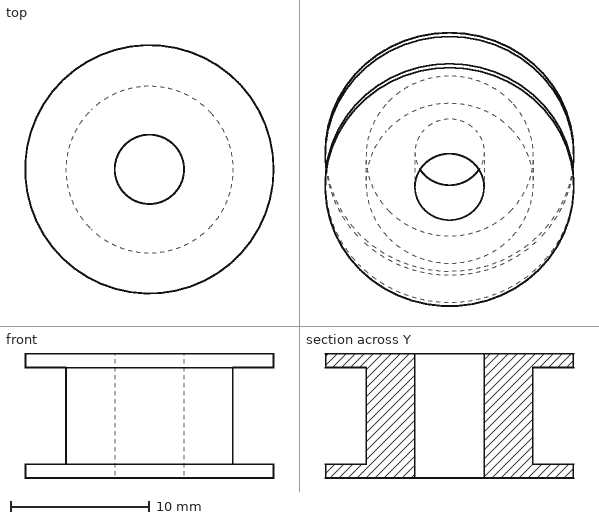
import cadquery as cq

flange_diameter = 18.0
hub_diameter = 12.1
bore_diameter = 5.0
total_height = 9.0
flange_thickness = 1.0

hub_height = total_height - 2 * flange_thickness


def disc(diameter, height, bottom):
    """Solid cylinder on the Z axis, standing on the given level."""
    return cq.Workplane("XY").workplane(offset=bottom).circle(diameter / 2).extrude(height)


lower_flange = disc(flange_diameter, flange_thickness, -total_height / 2)
hub = disc(hub_diameter, hub_height, -hub_height / 2)
upper_flange = disc(flange_diameter, flange_thickness, hub_height / 2)
spool = lower_flange.union(hub).union(upper_flange)

bore = disc(bore_diameter, total_height, -total_height / 2)
result = spool.cut(bore)